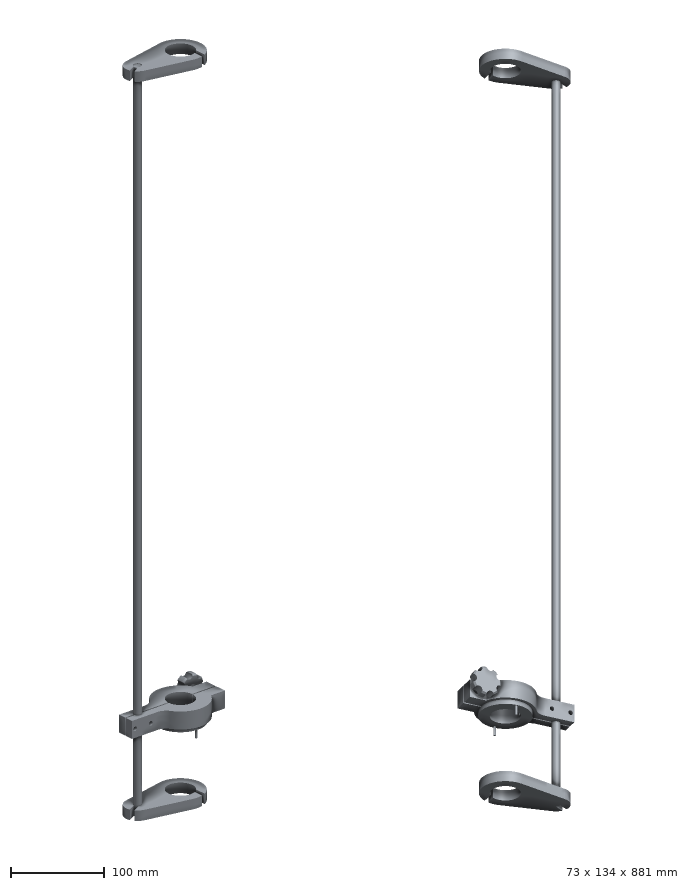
import cadquery as cq
import math

total_height = 881.0
overall_width = 73.0
bore_radius = 17.0
rod_radius = 4.85
rod_y = -60.0

plate_thickness = 12.0
plate_big_radius = 28.0
plate_small_radius = 16.0
rod_recess = 1.0
plate_slit_width = 5.0
bore_slit_y = 10.0
rod_slit_angle = -62.0

clamp_bottom = 98.0
clamp_height = 21.0
clamp_middle = clamp_bottom + clamp_height / 2
clamp_radius = 33.5
clamp_split = 2.0
lug_half_width = 15.0
lug_end_y = 49.0
arm_half_width = 11.0
arm_end_y = -77.0
arm_fillet = 15.0
arm_hole_diameter = 5.0
arm_hole_places = (-50.0, -72.0)

collar_radius = 29.0
collar_height = 5.0
pin_radius = 1.3
pin_x = 26.0
pin_bottom = 82.0

knob_y = 40.5
knob_outer_x = clamp_radius - overall_width
knob_thickness = 11.5
knob_radius = 17.0
knob_chamfer = 2.0
knob_points = 7
scallop_radius = 4.0
scallop_center_radius = knob_radius
shank_radius = 5.0


def cylinder(radius, x, y, bottom, top):
    return cq.Workplane("XY", origin=(x, y, bottom)).circle(radius).extrude(top - bottom)


def box(x_range, y_range, bottom, top):
    width = x_range[1] - x_range[0]
    depth = y_range[1] - y_range[0]
    corner = (x_range[0], y_range[0], bottom)
    return cq.Workplane("XY").box(width, depth, top - bottom, centered=False).translate(corner)


def rod_along_x(radius, y, z, start, end):
    return cq.Workplane("YZ", origin=(start, y, z)).circle(radius).extrude(end - start)


def end_plate(bottom):
    """Two circles joined by tangents, bored at the big end and slit at both ends."""
    top = bottom + plate_thickness
    tangent_sin = (plate_big_radius - plate_small_radius) / -rod_y
    tangent_cos = math.sqrt(1 - tangent_sin**2)
    big_x = plate_big_radius * tangent_cos
    big_y = -plate_big_radius * tangent_sin
    small_x = plate_small_radius * tangent_cos
    small_y = rod_y - plate_small_radius * tangent_sin
    plate = (
        cq.Workplane("XY", origin=(0, 0, bottom))
        .moveTo(-big_x, big_y)
        .threePointArc((0, plate_big_radius), (big_x, big_y))
        .lineTo(small_x, small_y)
        .threePointArc((0, rod_y - plate_small_radius), (-small_x, small_y))
        .close()
        .extrude(plate_thickness)
    )
    half_slit = plate_slit_width / 2
    bore_slit = box((0, plate_big_radius), (bore_slit_y - half_slit, bore_slit_y + half_slit), bottom, top)
    rod_slit = (
        box((0, 2 * plate_small_radius), (-half_slit, half_slit), bottom, top)
        .rotate((0, 0, 0), (0, 0, 1), rod_slit_angle)
        .translate((0, rod_y, 0))
    )
    bore = cylinder(bore_radius, 0, 0, bottom, top)
    rod_hole = cylinder(rod_radius, 0, rod_y, bottom, top)
    return plate.cut(bore).cut(rod_hole).cut(bore_slit).cut(rod_slit)


def clamp():
    """Ring with a lug and a rod arm, split in two halves along X = 0."""
    top = clamp_bottom + clamp_height
    ring = cylinder(clamp_radius, 0, 0, clamp_bottom, top)
    arm = box((-arm_half_width, arm_half_width), (arm_end_y, 0), clamp_bottom, top)
    inner_corners = cq.selectors.BoxSelector(
        (-clamp_radius, -clamp_radius, clamp_bottom), (clamp_radius, -bore_radius, top)
    )
    body = ring.union(arm).edges("|Z").edges(inner_corners).fillet(arm_fillet)
    lug = box((-lug_half_width, lug_half_width), (0, lug_end_y), clamp_bottom, top)
    collar = cylinder(collar_radius, 0, 0, clamp_bottom - collar_height, clamp_bottom)
    body = body.union(lug).union(collar)
    for side in (-1, 1):
        body = body.union(cylinder(pin_radius, side * pin_x, 0, pin_bottom, clamp_bottom))
    body = body.cut(cylinder(bore_radius, 0, 0, clamp_bottom - collar_height, top))
    half_split = clamp_split / 2
    body = body.cut(box((-half_split, half_split), (arm_end_y, lug_end_y), clamp_bottom, top))
    for hole_y in arm_hole_places:
        hole = rod_along_x(arm_hole_diameter / 2, hole_y, clamp_middle, -arm_half_width, arm_half_width)
        body = body.cut(hole)
    return body


def knob():
    """Scalloped hand knob on a screw that runs through the clamp lug."""
    inner_x = knob_outer_x + knob_thickness
    head = rod_along_x(knob_radius, 0, 0, knob_outer_x, inner_x).faces("<X or >X").chamfer(knob_chamfer)
    for scallop in range(knob_points):
        angle = 2 * math.pi * scallop / knob_points
        scallop_y = scallop_center_radius * math.cos(angle)
        scallop_z = scallop_center_radius * math.sin(angle)
        head = head.cut(rod_along_x(scallop_radius, scallop_y, scallop_z, knob_outer_x, inner_x))
    shank = rod_along_x(shank_radius, 0, 0, inner_x, lug_half_width)
    return head.union(shank).translate((0, knob_y, clamp_middle))


rod = cylinder(rod_radius, 0, rod_y, 0, total_height - rod_recess)

result = (
    end_plate(0)
    .union(end_plate(total_height - plate_thickness))
    .union(clamp())
    .union(knob())
    .union(rod)
)